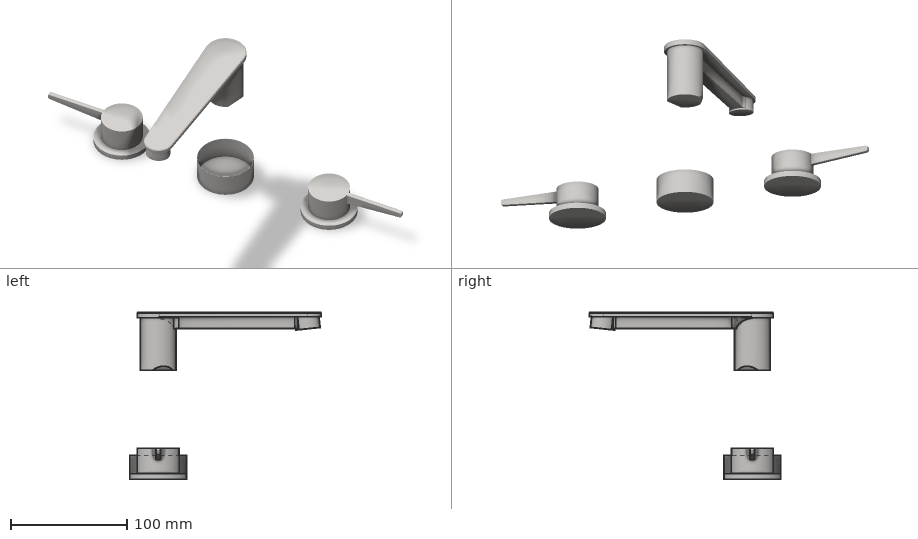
import cadquery as cq
import math

OVERALL_WIDTH = 341.0

HANDLE_SPACING = 100.0
ESCUTCHEON_DIAMETER = 49.0
ESCUTCHEON_HEIGHT = 4.8
HANDLE_TOP = 27.0
KNOB_DIAMETER = 36.0
NECK_DIAMETER = 30.0
NECK_HEIGHT = 0.7
LEVER_REACH = OVERALL_WIDTH / 2 - HANDLE_SPACING
LEVER_WIDTH = 4.0
LEVER_ROOT_DEPTH = 10.0
LEVER_TIP_DEPTH = 5.0
LEVER_TIP_ROUND = 2.0
LEVER_EDGE_CHAMFER = 0.5

CUP_HEIGHT = 20.8
CUP_WALL = 0.17
CUP_FLOOR = 0.17

SPOUT_TOP = 144.0
PLATE_THICKNESS = 3.8
PLATE_TOP_CHAMFER = 0.7
PLATE_REAR_RADIUS = 18.0
PLATE_TIP_RADIUS = 12.5
SPOUT_REACH = 128.0
COLUMN_DIAMETER = 31.0
COLUMN_BOTTOM = 93.8
COLLAR_THICKNESS = 1.0
BEVEL_DEPTH = 3.0
BEVEL_HEIGHT = 3.8
BEVEL_TURN = 18.0
CHANNEL_WIDTH = 11.5
CHANNEL_BOTTOM = 130.0
FLARE_START = 117.5
FLARE_END = 119.7
FLARE_WIDTH = 14.3
SHOULDER_HALF_WIDTH = 8.0
SHOULDER_REACH = 17.7
SHOULDER_TOP_X = 17.0
SHOULDER_ROUND = 2.7

NOZZLE_DIAMETER = 21.0
NOZZLE_TILT = 6.0
NOZZLE_LENGTH = 10.5

PLATE_BOTTOM = SPOUT_TOP - PLATE_THICKNESS
CHANNEL_HEIGHT = PLATE_BOTTOM - CHANNEL_BOTTOM


def disc(diameter, bottom, height):
    """Upright cylinder on the Z axis."""
    return cq.Workplane("XY").workplane(offset=bottom).circle(diameter / 2).extrude(height)


def make_escutcheon(side):
    """Flat round plate under a handle."""
    plate = disc(ESCUTCHEON_DIAMETER, 0, ESCUTCHEON_HEIGHT)
    return plate.translate((side * HANDLE_SPACING, 0, 0))


def make_handle(side):
    """Round knob on a short neck, with a flat lever that tapers outward."""
    knob_bottom = ESCUTCHEON_HEIGHT + NECK_HEIGHT
    knob = disc(KNOB_DIAMETER, knob_bottom, HANDLE_TOP - knob_bottom)
    neck = disc(NECK_DIAMETER, ESCUTCHEON_HEIGHT, NECK_HEIGHT)
    lever = (
        cq.Workplane("XZ")
        .moveTo(0, HANDLE_TOP)
        .lineTo(LEVER_REACH, HANDLE_TOP)
        .lineTo(LEVER_REACH, HANDLE_TOP - LEVER_TIP_DEPTH)
        .lineTo(KNOB_DIAMETER / 2, HANDLE_TOP - LEVER_ROOT_DEPTH)
        .lineTo(0, HANDLE_TOP - LEVER_ROOT_DEPTH)
        .close()
        .extrude(LEVER_WIDTH / 2, both=True)
        .edges("|Y and >X")
        .fillet(LEVER_TIP_ROUND)
        .faces("<Y or >Y")
        .edges()
        .chamfer(LEVER_EDGE_CHAMFER)
    )
    handle = knob.union(neck).union(lever)
    if side < 0:
        handle = handle.mirror("YZ")
    return handle.translate((side * HANDLE_SPACING, 0, 0))


def make_cup():
    """Open-topped sleeve with a floor."""
    hollow = disc(ESCUTCHEON_DIAMETER - 2 * CUP_WALL, CUP_FLOOR, CUP_HEIGHT)
    return disc(ESCUTCHEON_DIAMETER, 0, CUP_HEIGHT).cut(hollow)


def make_top_plate():
    """Plate bounded by two end arcs and their common tangents."""
    slope = math.asin((PLATE_REAR_RADIUS - PLATE_TIP_RADIUS) / SPOUT_REACH)
    rear_x = PLATE_REAR_RADIUS * math.cos(slope)
    rear_y = -PLATE_REAR_RADIUS * math.sin(slope)
    tip_x = PLATE_TIP_RADIUS * math.cos(slope)
    tip_y = -SPOUT_REACH - PLATE_TIP_RADIUS * math.sin(slope)
    return (
        cq.Workplane("XY")
        .workplane(offset=PLATE_BOTTOM)
        .moveTo(rear_x, rear_y)
        .threePointArc((0, PLATE_REAR_RADIUS), (-rear_x, rear_y))
        .lineTo(-tip_x, tip_y)
        .threePointArc((0, -SPOUT_REACH - PLATE_TIP_RADIUS), (tip_x, tip_y))
        .close()
        .extrude(PLATE_THICKNESS)
        .faces(">Z")
        .edges()
        .chamfer(PLATE_TOP_CHAMFER)
    )


def make_column():
    """Column with a thin collar at the top and two bevels on its bottom edge."""
    radius = COLUMN_DIAMETER / 2
    column = disc(COLUMN_DIAMETER, COLUMN_BOTTOM, PLATE_BOTTOM - COLUMN_BOTTOM)
    bevel = (
        cq.Workplane("XZ")
        .moveTo(radius - BEVEL_DEPTH, COLUMN_BOTTOM)
        .lineTo(radius, COLUMN_BOTTOM)
        .lineTo(radius, COLUMN_BOTTOM + BEVEL_HEIGHT)
        .close()
        .extrude(radius, both=True)
    )
    for angle in (-BEVEL_TURN, 180 + BEVEL_TURN):
        column = column.cut(bevel.rotate((0, 0, 0), (0, 0, 1), angle))
    collar = disc(2 * PLATE_REAR_RADIUS, PLATE_BOTTOM - COLLAR_THICKNESS, COLLAR_THICKNESS)
    return column.union(collar)


def make_shoulder():
    """Block between column and channel, with one side sloping out at 45 degrees."""
    return (
        cq.Workplane("XZ")
        .moveTo(-SHOULDER_HALF_WIDTH, PLATE_BOTTOM)
        .lineTo(SHOULDER_TOP_X, PLATE_BOTTOM)
        .lineTo(SHOULDER_TOP_X - CHANNEL_HEIGHT, CHANNEL_BOTTOM)
        .lineTo(-SHOULDER_HALF_WIDTH, CHANNEL_BOTTOM)
        .close()
        .extrude(SHOULDER_REACH)
        .faces("<Y")
        .edges("not(|X or |Z)")
        .fillet(SHOULDER_ROUND)
    )


def make_channel():
    """Straight bar under the plate that flares slightly where it meets the nozzle."""
    half_width = CHANNEL_WIDTH / 2
    flare_half_width = FLARE_WIDTH / 2
    return (
        cq.Workplane("XY")
        .workplane(offset=CHANNEL_BOTTOM)
        .moveTo(-half_width, 0)
        .lineTo(-half_width, -FLARE_START)
        .lineTo(-flare_half_width, -FLARE_END)
        .lineTo(-flare_half_width, -SPOUT_REACH)
        .lineTo(flare_half_width, -SPOUT_REACH)
        .lineTo(flare_half_width, -FLARE_END)
        .lineTo(half_width, -FLARE_START)
        .lineTo(half_width, 0)
        .close()
        .extrude(CHANNEL_HEIGHT)
    )


def make_nozzle():
    """Tilted cylinder that ends at the underside of the top plate."""
    blank = disc(NOZZLE_DIAMETER, -NOZZLE_LENGTH, 2 * NOZZLE_LENGTH)
    blank = blank.rotate((0, 0, 0), (1, 0, 0), -NOZZLE_TILT)
    blank = blank.translate((0, -SPOUT_REACH, PLATE_BOTTOM))
    above = cq.Workplane("XY").box(
        2 * NOZZLE_DIAMETER, 2 * NOZZLE_DIAMETER, 2 * NOZZLE_LENGTH, centered=(True, True, False)
    )
    return blank.cut(above.translate((0, -SPOUT_REACH, PLATE_BOTTOM)))


def make_spout(nozzle):
    """Top plate, column, shoulder and channel in one piece, with a socket for the nozzle."""
    spout = make_top_plate().union(make_column()).union(make_shoulder()).union(make_channel())
    return spout.cut(nozzle)


SIDES = (-1, 1)
nozzle = make_nozzle().solids()
spout = make_spout(nozzle).solids()
cup = make_cup().solids()
escutcheons = [make_escutcheon(side).solids().val() for side in SIDES]
handles = [make_handle(side).solids().val() for side in SIDES]

result = cq.Compound.makeCompound([spout.val(), nozzle.val(), cup.val(), *escutcheons, *handles])